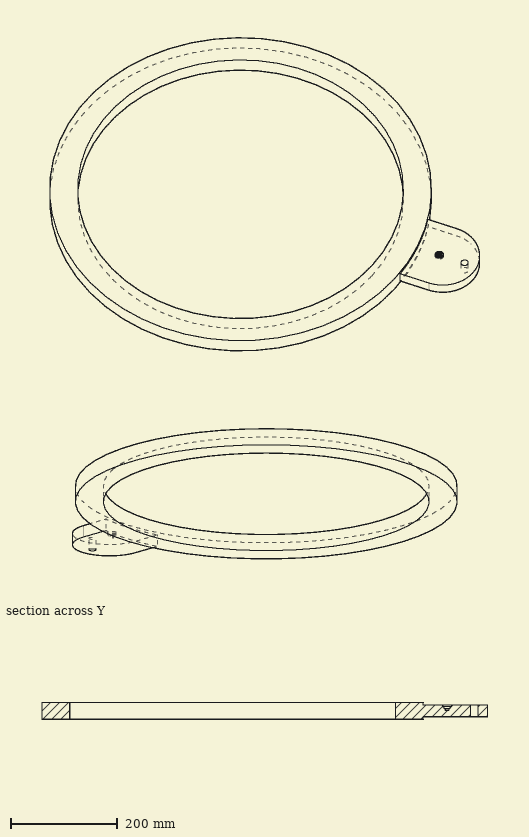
import cadquery as cq

ring_outer_diameter = 714.0
ring_inner_diameter = 609.0
ring_height = 32.0

overall_length = 834.0
tab_width = 138.5
tab_thickness = 22.5

through_hole_diameter = 13.0
through_hole_edge_distance = 25.0
hole_spacing = 51.0
step_diameters = (16.0, 11.0, 6.0)
step_height = 3.0

ring_outer_radius = ring_outer_diameter / 2
ring_inner_radius = ring_inner_diameter / 2
tab_radius = tab_width / 2
tab_end_x = overall_length - ring_outer_radius
tab_arc_x = tab_end_x - tab_radius
tab_root_x = (ring_outer_radius + ring_inner_radius) / 2
through_hole_x = tab_end_x - through_hole_edge_distance
stepped_hole_x = through_hole_x - hole_spacing


def make_ring():
    return (
        cq.Workplane("XY")
        .circle(ring_outer_radius)
        .circle(ring_inner_radius)
        .extrude(ring_height / 2, both=True)
    )


def make_tab():
    """Flat tab whose straight root is buried in the ring wall."""
    return (
        cq.Workplane("XY")
        .moveTo(tab_root_x, -tab_radius)
        .lineTo(tab_arc_x, -tab_radius)
        .threePointArc((tab_end_x, 0), (tab_arc_x, tab_radius))
        .lineTo(tab_root_x, tab_radius)
        .close()
        .extrude(tab_thickness / 2, both=True)
    )


def make_hole(center_x, diameter, depth):
    """Cutter going down from the top face of the tab."""
    return (
        cq.Workplane("XY", origin=(center_x, 0, tab_thickness / 2))
        .circle(diameter / 2)
        .extrude(-depth)
    )


def make_stepped_hole():
    """Coaxial bores, each narrower and one step deeper than the one before."""
    hole = cq.Workplane("XY")
    for step, diameter in enumerate(step_diameters, start=1):
        hole = hole.union(make_hole(stepped_hole_x, diameter, step * step_height))
    return hole


result = (
    make_ring()
    .union(make_tab())
    .cut(make_hole(through_hole_x, through_hole_diameter, tab_thickness))
    .cut(make_stepped_hole())
)